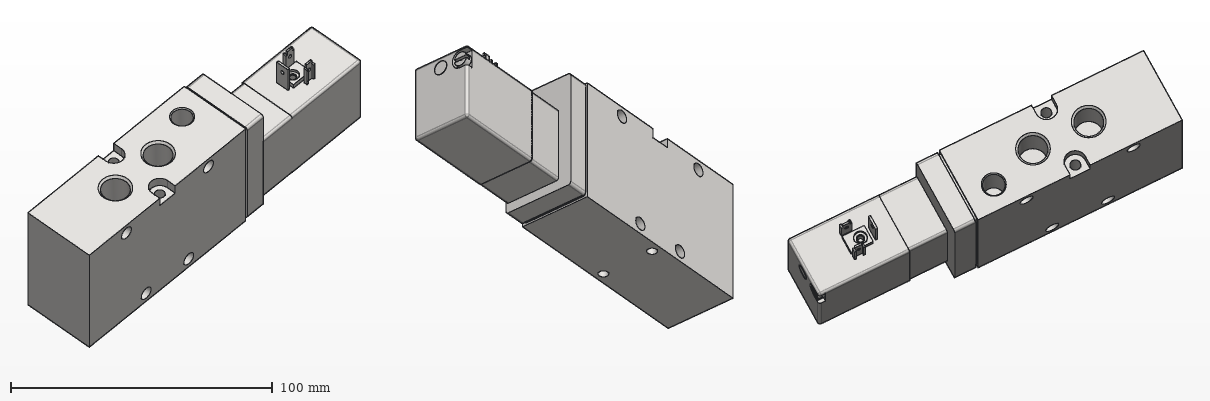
import cadquery as cq

BLOCK_WIDTH = 32.0
BLOCK_LENGTH = 88.1
BLOCK_HEIGHT = 53.0
OVERALL_LENGTH = 154.0

PORT_MID_Y = 44.0
PORT_SPACING = 24.0
PORT_DIAMETER = 11.4
PORT_MOUTH_CHAMFER = 1.0
PILOT_PORT_X = -6.0
PILOT_PORT_Y = 76.0
PILOT_PORT_DIAMETER = 8.6
PILOT_MOUTH_CHAMFER = 0.5
PORT_DEPTH = 15.4
SEAT_X = 12.0
SEAT_DIAMETER = 8.6
SEAT_DEPTH = 4.2
SEAT_HOLE_DIAMETER = 4.2
CROSS_HOLE_DIAMETER = 5.5
UPPER_CROSS_HOLE_SPACING = 46.2
UPPER_CROSS_HOLE_Z = 48.5
LOWER_CROSS_HOLE_Z = 4.6

LIP_LENGTH = 1.0
LIP_INSET = 1.0
PLATE_LENGTH = 9.1
PLATE_CLEARANCE = 0.6
ADAPTER_CORNER_RADIUS = 1.2

COIL_X = 2.6
COIL_WIDTH = 26.2
COIL_BOTTOM = 5.0
COIL_TOP = 38.0
NECK_LENGTH = 16.5
NECK_SIDE_STEP = 0.5
NECK_END_STEP = 0.2
COIL_EDGE_RADIUS = 1.1
BUTTON_DIAMETER = 6.0
BUTTON_HEIGHT = 0.2

SCREW_X = -7.1
SCREW_Z = 32.8
SCREW_DIAMETER = 6.0
SCREW_RECESS_WIDTH = 8.0
SCREW_RECESS_DEPTH = 3.0
SCREW_SLOT_WIDTH = 1.2
SCREW_SLOT_DEPTH = 1.8

BASE_WIDTH = 7.4
BASE_FRONT_Y = 125.5
BASE_BACK_Y = 135.0
BASE_HEIGHT = 2.0
SOCKET_Y = 129.0
SOCKET_DIAMETER = 5.2
SOCKET_DEPTH = 1.2
SOCKET_STEP_DIAMETER = 3.2
SOCKET_STEP_DEPTH = 1.7
SOCKET_BORE_DIAMETER = 2.5
SOCKET_BORE_DEPTH = 4.6

BLADE_HOLE_DIAMETER = 1.5
EARTH_WIDTH = 5.9
EARTH_THICKNESS = 1.0
EARTH_Y = 123.7
EARTH_TOP = 49.9
EARTH_HOLE_Z = 46.0
CHANNEL_OFFSET = 4.6
CHANNEL_DEPTH = 1.7
CHANNEL_WIDTH = 4.6
CHANNEL_Y = 132.6
CHANNEL_WALL = 0.8
CHANNEL_TOP = 46.2
CHANNEL_TIP_TOP = 48.0
CHANNEL_HOLE_Z = 44.0

PLATE_Y = BLOCK_LENGTH + LIP_LENGTH
NECK_Y = PLATE_Y + PLATE_LENGTH
COIL_Y = NECK_Y + NECK_LENGTH
COIL_END_Y = OVERALL_LENGTH - BUTTON_HEIGHT
COIL_LEFT = COIL_X - COIL_WIDTH / 2
COIL_RIGHT = COIL_X + COIL_WIDTH / 2


def box(x_range, y_range, z_range):
    """Box between two limits on each axis."""
    sizes = [high - low for low, high in (x_range, y_range, z_range)]
    corner = (x_range[0], y_range[0], z_range[0])
    return cq.Workplane("XY").box(*sizes, centered=False).translate(corner)


def cylinder(start, direction, diameter, length):
    """Cylinder of the given diameter running from start along direction."""
    return cq.Workplane(
        cq.Solid.makeCylinder(diameter / 2, length, cq.Vector(*start), cq.Vector(*direction))
    )


def port(x, y, diameter, mouth_chamfer):
    """Cutter for a blind port in the top of the block, with a chamfered mouth."""
    bore = cylinder((x, y, BLOCK_HEIGHT), (0, 0, -1), diameter, PORT_DEPTH)
    mouth = cq.Solid.makeCone(
        diameter / 2 + mouth_chamfer,
        diameter / 2,
        mouth_chamfer,
        cq.Vector(x, y, BLOCK_HEIGHT),
        cq.Vector(0, 0, -1),
    )
    return bore.union(cq.Workplane(mouth))


def mounting_seat(side):
    """Cutter for a screw hole through the block and its seat, open to the side face (-1 or 1)."""
    x = side * SEAT_X
    floor = BLOCK_HEIGHT - SEAT_DEPTH
    hole = cylinder((x, PORT_MID_Y, 0), (0, 0, 1), SEAT_HOLE_DIAMETER, BLOCK_HEIGHT)
    round_end = cylinder((x, PORT_MID_Y, floor), (0, 0, 1), SEAT_DIAMETER, SEAT_DEPTH)
    opening = box(
        sorted((x, side * BLOCK_WIDTH / 2)),
        (PORT_MID_Y - SEAT_DIAMETER / 2, PORT_MID_Y + SEAT_DIAMETER / 2),
        (floor, BLOCK_HEIGHT),
    )
    return hole.union(round_end).union(opening)


def make_valve_block():
    """Valve block with its ports, mounting seats and cross holes."""
    block = box(
        (-BLOCK_WIDTH / 2, BLOCK_WIDTH / 2),
        (0, BLOCK_LENGTH),
        (0, BLOCK_HEIGHT),
    )
    block = block.cut(port(PILOT_PORT_X, PILOT_PORT_Y, PILOT_PORT_DIAMETER, PILOT_MOUTH_CHAMFER))
    cross_hole_rows = [
        (UPPER_CROSS_HOLE_SPACING, UPPER_CROSS_HOLE_Z),
        (PORT_SPACING, LOWER_CROSS_HOLE_Z),
    ]
    for side in (-1, 1):
        port_y = PORT_MID_Y + side * PORT_SPACING / 2
        block = block.cut(port(0, port_y, PORT_DIAMETER, PORT_MOUTH_CHAMFER))
        block = block.cut(mounting_seat(side))
        for spacing, z in cross_hole_rows:
            start = (-BLOCK_WIDTH / 2, PORT_MID_Y + side * spacing / 2, z)
            block = block.cut(cylinder(start, (1, 0, 0), CROSS_HOLE_DIAMETER, BLOCK_WIDTH))
    return block


def make_adapter():
    """Inset lip and plate that close the end of the block."""
    lip = box(
        (LIP_INSET - BLOCK_WIDTH / 2, BLOCK_WIDTH / 2 - LIP_INSET),
        (BLOCK_LENGTH, PLATE_Y),
        (LIP_INSET, BLOCK_HEIGHT - LIP_INSET),
    )
    plate = box(
        (-BLOCK_WIDTH / 2, BLOCK_WIDTH / 2),
        (PLATE_Y, NECK_Y),
        (PLATE_CLEARANCE, BLOCK_HEIGHT - PLATE_CLEARANCE),
    )
    lip = lip.edges("|Y").fillet(ADAPTER_CORNER_RADIUS)
    return lip.union(plate.edges("|Y").fillet(ADAPTER_CORNER_RADIUS))


def make_coil():
    """Coil housing and the slightly smaller neck in front of it."""
    neck = box(
        (COIL_LEFT + NECK_SIDE_STEP, COIL_RIGHT),
        (NECK_Y, COIL_Y),
        (COIL_BOTTOM + NECK_END_STEP, COIL_TOP - NECK_END_STEP),
    )
    coil = box((COIL_LEFT, COIL_RIGHT), (COIL_Y, COIL_END_Y), (COIL_BOTTOM, COIL_TOP))
    coil = coil.edges("|Y or >Y").fillet(COIL_EDGE_RADIUS)
    return coil.union(neck.edges("|Y").fillet(COIL_EDGE_RADIUS))


def add_end_screw(coil):
    """Slotted screw head in a recess open to -X, and a low button, on the end of the coil."""
    floor = COIL_END_Y - SCREW_RECESS_DEPTH
    center = (SCREW_X, floor, SCREW_Z)
    recess = cylinder(center, (0, 1, 0), SCREW_RECESS_WIDTH, SCREW_RECESS_DEPTH).union(
        box(
            (COIL_LEFT, SCREW_X),
            (floor, COIL_END_Y),
            (SCREW_Z - SCREW_RECESS_WIDTH / 2, SCREW_Z + SCREW_RECESS_WIDTH / 2),
        )
    )
    head = cylinder(center, (0, 1, 0), SCREW_DIAMETER, SCREW_RECESS_DEPTH)
    slot = box(
        (SCREW_X - SCREW_DIAMETER / 2, SCREW_X + SCREW_DIAMETER / 2),
        (COIL_END_Y - SCREW_SLOT_DEPTH, COIL_END_Y),
        (SCREW_Z - SCREW_SLOT_WIDTH / 2, SCREW_Z + SCREW_SLOT_WIDTH / 2),
    )
    button = cylinder((COIL_X, COIL_END_Y, SCREW_Z), (0, 1, 0), BUTTON_DIAMETER, BUTTON_HEIGHT)
    return coil.cut(recess).union(head.cut(slot)).union(button)


def add_connector_base(coil):
    """Raised pad on the coil with a stepped screw socket."""
    pad_top = COIL_TOP + BASE_HEIGHT
    coil = coil.union(
        box(
            (COIL_X - BASE_WIDTH / 2, COIL_X + BASE_WIDTH / 2),
            (BASE_FRONT_Y, BASE_BACK_Y),
            (COIL_TOP, pad_top),
        )
    )
    socket_steps = [
        (SOCKET_DIAMETER, SOCKET_DEPTH),
        (SOCKET_STEP_DIAMETER, SOCKET_STEP_DEPTH),
        (SOCKET_BORE_DIAMETER, SOCKET_BORE_DEPTH),
    ]
    for diameter, depth in socket_steps:
        coil = coil.cut(cylinder((COIL_X, SOCKET_Y, pad_top), (0, 0, -1), diameter, depth))
    return coil


def make_earth_blade():
    """Flat blade across the coil with a hole near its tip."""
    back_y = EARTH_Y + EARTH_THICKNESS / 2
    front_y = EARTH_Y - EARTH_THICKNESS / 2
    blade = box(
        (COIL_X - EARTH_WIDTH / 2, COIL_X + EARTH_WIDTH / 2),
        (front_y, back_y),
        (COIL_TOP, EARTH_TOP),
    )
    start = (COIL_X, front_y, EARTH_HOLE_Z)
    return blade.cut(cylinder(start, (0, 1, 0), BLADE_HOLE_DIAMETER, EARTH_THICKNESS))


def make_channel_blade(side):
    """Channel-shaped blade whose open side faces away from the pad, on the -X (-1) or +X (1) side."""
    web_inner = COIL_X + side * CHANNEL_OFFSET
    web_outer = web_inner + side * CHANNEL_WALL
    flange_tip = web_inner + side * CHANNEL_DEPTH
    outer_y = (CHANNEL_Y - CHANNEL_WIDTH / 2, CHANNEL_Y + CHANNEL_WIDTH / 2)
    inner_y = (outer_y[0] + CHANNEL_WALL, outer_y[1] - CHANNEL_WALL)
    channel = box(sorted((web_inner, flange_tip)), outer_y, (COIL_TOP, CHANNEL_TOP))
    channel = channel.cut(box(sorted((web_outer, flange_tip)), inner_y, (COIL_TOP, CHANNEL_TOP)))
    tip = box(sorted((web_inner, web_outer)), inner_y, (COIL_TOP, CHANNEL_TIP_TOP))
    start = (web_inner, CHANNEL_Y, CHANNEL_HOLE_Z)
    hole = cylinder(start, (side, 0, 0), BLADE_HOLE_DIAMETER, CHANNEL_WALL)
    return channel.union(tip).cut(hole)


def make_solenoid():
    """Solenoid head: adapter, neck, coil, end screw and button, connector pad and contact blades."""
    coil = add_connector_base(add_end_screw(make_coil()))
    coil = coil.union(make_earth_blade())
    for side in (-1, 1):
        coil = coil.union(make_channel_blade(side))
    return coil.union(make_adapter())


valve_block = make_valve_block()
solenoid = make_solenoid()

result = cq.Compound.makeCompound([valve_block.val(), solenoid.val()])